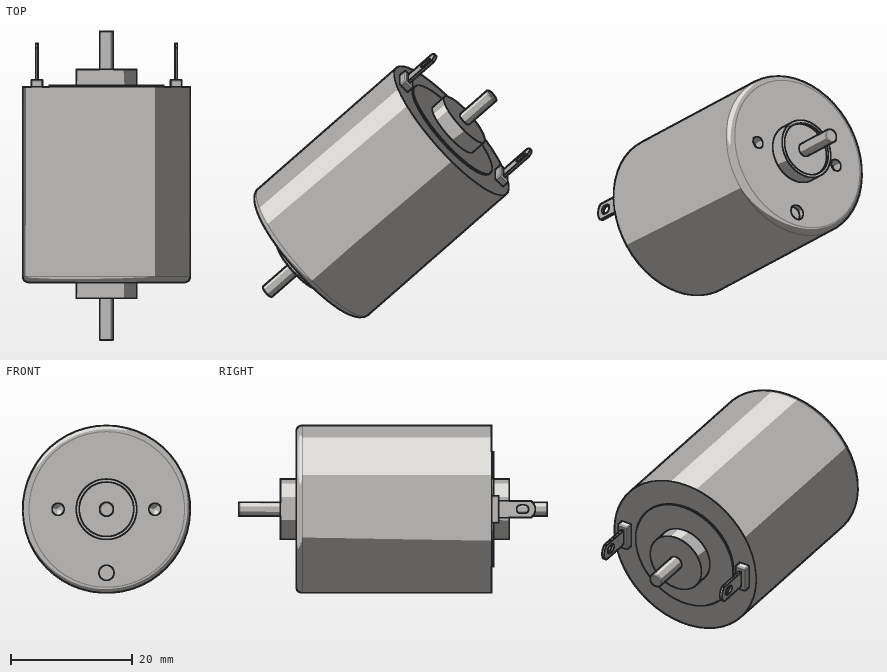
import cadquery as cq
import math


can_diameter = 27.7
can_length = 32.3
can_edge_radius = 1.0

boss_diameter = 10.0
boss_height = 2.6
boss_recess_diameter = 9.0
boss_recess_depth = 0.5

plate_diameter = 19.0
plate_thickness = 0.3

shaft_diameter = 2.31
shaft_length = 51.0
shaft_tip_diameter = 2.0
shaft_front_reach = 9.5

mount_hole_diameter = 2.0
mount_hole_spacing = 16.0
mount_hole_depth = 2.0
drill_point_angle = 118.0
locating_hole_diameter = 2.5
locating_hole_depth = 1.0
locating_hole_offset = 10.5

terminal_spacing = 23.0
terminal_thickness = 0.45
terminal_width = 2.8
terminal_tip_gap = 2.0
terminal_tip_rise = 0.7
slot_length = 2.0
slot_width = 1.4
slot_to_tip = 2.1
base_width = 1.9
base_length = 4.5
base_height = 1.2
base_edge_radius = 0.2

shaft_rear_end = shaft_length - shaft_front_reach
plate_rear_face = can_length + plate_thickness
terminal_tip = shaft_rear_end - terminal_tip_gap


def cylinder(diameter, start, end, x=0.0, z=0.0):
    """Cylinder parallel to Y between two Y positions."""
    axis_start = cq.Vector(x, start, z)
    return cq.Workplane(cq.Solid.makeCylinder(diameter / 2, end - start, axis_start, cq.Vector(0, 1, 0)))


def make_can():
    can = cylinder(can_diameter, 0, can_length)
    return can.faces("<Y").edges().fillet(can_edge_radius)


def make_bosses():
    front = cylinder(boss_diameter, -boss_height, 0)
    recess = cylinder(boss_recess_diameter, -boss_height, boss_recess_depth - boss_height)
    rear = cylinder(boss_diameter, can_length, plate_rear_face + boss_height)
    return front.cut(recess), rear


def make_shaft():
    shaft = cylinder(shaft_diameter, -shaft_front_reach, shaft_rear_end)
    tip_radius = (shaft_diameter - shaft_tip_diameter) / 2
    return shaft.faces("<Y or >Y").edges().fillet(tip_radius)


def make_mount_hole(x):
    """Blind drilled hole with a conical bottom."""
    radius = mount_hole_diameter / 2
    point_depth = radius / math.tan(math.radians(drill_point_angle / 2))
    point = cq.Solid.makeCone(radius, 0, point_depth, cq.Vector(x, mount_hole_depth, 0), cq.Vector(0, 1, 0))
    return cylinder(mount_hole_diameter, 0, mount_hole_depth, x=x).union(cq.Workplane(point))


def make_terminal(x):
    """Slotted solder tab standing on a round-edged insulating base."""
    base = (
        cq.Workplane("XY")
        .box(base_width, base_height, base_length, centered=(True, False, True))
        .edges("not <Y")
        .fillet(base_edge_radius)
    )
    tab_length = terminal_tip - can_length
    shoulder = tab_length - terminal_tip_rise
    half_width = terminal_width / 2
    tab = (
        cq.Workplane("YZ")
        .moveTo(0, -half_width)
        .lineTo(shoulder, -half_width)
        .threePointArc((tab_length, 0), (shoulder, half_width))
        .lineTo(0, half_width)
        .close()
        .extrude(terminal_thickness / 2, both=True)
    )
    slot = (
        cq.Workplane("YZ")
        .center(tab_length - slot_to_tip, 0)
        .slot2D(slot_length, slot_width)
        .extrude(terminal_thickness, both=True)
    )
    return base.union(tab).cut(slot).translate((x, can_length, 0))


front_boss, rear_boss = make_bosses()
rear_plate = cylinder(plate_diameter, can_length, plate_rear_face)
result = make_can().union(rear_plate).union(front_boss).union(rear_boss).union(make_shaft())

for side in (-1, 1):
    result = result.cut(make_mount_hole(side * mount_hole_spacing / 2))
    result = result.union(make_terminal(side * terminal_spacing / 2))

result = result.cut(cylinder(locating_hole_diameter, 0, locating_hole_depth, z=-locating_hole_offset))